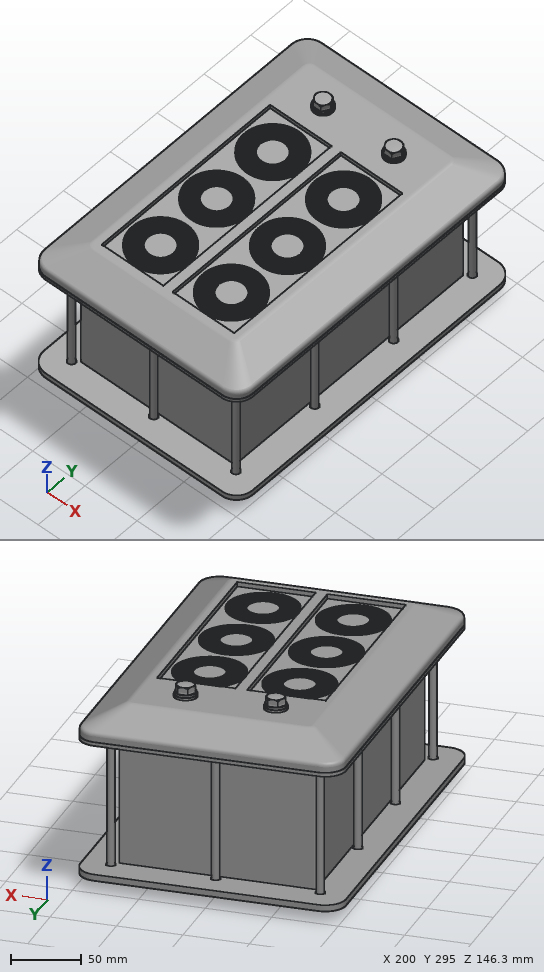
import cadquery as cq

WIDTH = 200.0
LENGTH = 295.0
CORNER_RADIUS = 15.5

STUD_TIP_LENGTH = 8.3
PLATE_THICKNESS = 5.0
BODY_HEIGHT = 100.0
FRAME_HEIGHT = 23.3
SCREW_HEIGHT = 9.7
PLATE_BOTTOM = STUD_TIP_LENGTH
PLATE_TOP = PLATE_BOTTOM + PLATE_THICKNESS
FRAME_BOTTOM = PLATE_TOP + BODY_HEIGHT
FRAME_TOP = FRAME_BOTTOM + FRAME_HEIGHT

BODY_WIDTH = 148.7
BODY_LENGTH = 244.8
BODY_CORNER_RADIUS = 1.8

FLANGE_THICKNESS = 3.0
RIM_INSET = 0.3
RIM_HEIGHT = 6.5
SLOPE_INSET = 29.8
TOP_CORNER_RADIUS = 4.7
RIM_FILLET = 3.2
TOP_FILLET = 7.5

EDGE_TOLERANCE = 0.03

STUD_DIAMETER = 6.0
STUD_HOLE_DIAMETER = 7.0
STUD_X = 78.8
STUD_Y = 126.3
STUD_ROWS = 4
STUD_WASHER_DIAMETER = 14.8
STUD_WASHER_THICKNESS = 1.8
NUT_ACROSS_CORNERS = 12.7
NUT_HEIGHT = 3.2

MODULE_COLUMN_X = 34.0
MODULE_PITCH = 60.0
MODULE_ROWS = 3
POCKET_WIDTH = 59.0
POCKET_CENTER_Y = -21.2
POCKET_DEPTH = 3.5

LAYER_DIAMETER = 54.0
LAYER_THICKNESS = 1.0
GROOVE_COUNT = 8
GROOVE_DEPTH = 0.3
SPLIT_WIDTH = 1.2

SCREW_Y = 92.3
SCREW_WASHER_DIAMETER = 17.5
SCREW_WASHER_THICKNESS = 1.8
SCREW_FLANGE_DIAMETER = 16.0
SCREW_FLANGE_THICKNESS = 1.8
SCREW_SKIRT_HEIGHT = 1.5
SCREW_SKIRT_CORNERS = 15.5
SCREW_HEAD_CORNERS = 15.0
SCREW_CHAMFER_REACH = 1.5
SCREW_CHAMFER_HEIGHT = 1.8
SCREW_CROWN_RADIUS = 31.3


def disc(diameter, bottom, height):
    return cq.Workplane("XY").workplane(offset=bottom).circle(diameter / 2).extrude(height)


def hexagon(across_corners, bottom, height):
    return cq.Workplane("XY").workplane(offset=bottom).polygon(6, across_corners).extrude(height)


def rounded_block(width, length, radius, bottom, height):
    block = cq.Workplane("XY").workplane(offset=bottom).rect(width, length).extrude(height)
    return block.edges("|Z").fillet(radius)


def rounded_outline(width, length, radius, height):
    outline = cq.Sketch().rect(width, length).vertices().fillet(radius)
    return outline.moved(cq.Location(cq.Vector(0, 0, height)))


def make_frame():
    flange = rounded_block(WIDTH, LENGTH, CORNER_RADIUS, FRAME_BOTTOM, FLANGE_THICKNESS)
    rim_width = WIDTH - 2 * RIM_INSET
    rim_length = LENGTH - 2 * RIM_INSET
    rim_radius = CORNER_RADIUS - RIM_INSET
    rim_bottom = FRAME_BOTTOM + FLANGE_THICKNESS
    rim_top = rim_bottom + RIM_HEIGHT
    rim = rounded_block(rim_width, rim_length, rim_radius, rim_bottom, RIM_HEIGHT)

    top_width = rim_width - 2 * SLOPE_INSET
    top_length = rim_length - 2 * SLOPE_INSET
    slope = (
        cq.Workplane("XY")
        .placeSketch(
            rounded_outline(rim_width, rim_length, rim_radius, rim_top),
            rounded_outline(top_width, top_length, TOP_CORNER_RADIUS, FRAME_TOP),
        )
        .loft(ruled=True)
    )
    cover = rim.union(slope)
    cover = cover.faces(">Z").edges().fillet(TOP_FILLET)
    rim_edges = cover.edges().filter(lambda edge: abs(edge.Center().z - rim_top) < EDGE_TOLERANCE)
    cover = rim_edges.fillet(RIM_FILLET)
    return flange.union(cover)


def make_stud():
    washer_bottom = PLATE_BOTTOM - STUD_WASHER_THICKNESS
    rod = disc(STUD_DIAMETER, 0, FRAME_BOTTOM)
    washer = disc(STUD_WASHER_DIAMETER, washer_bottom, STUD_WASHER_THICKNESS)
    nut = hexagon(NUT_ACROSS_CORNERS, washer_bottom - NUT_HEIGHT, NUT_HEIGHT)
    return rod.union(washer).union(nut)


def stud_positions():
    row_pitch = 2 * STUD_Y / (STUD_ROWS - 1)
    sides = [(x, -STUD_Y + row * row_pitch) for x in (-STUD_X, STUD_X) for row in range(STUD_ROWS)]
    return sides + [(0, -STUD_Y), (0, STUD_Y)]


def make_screw():
    flange_bottom = FRAME_TOP + SCREW_WASHER_THICKNESS
    skirt_bottom = flange_bottom + SCREW_FLANGE_THICKNESS
    head_bottom = skirt_bottom + SCREW_SKIRT_HEIGHT
    screw_top = FRAME_TOP + SCREW_HEIGHT
    washer = disc(SCREW_WASHER_DIAMETER, FRAME_TOP, SCREW_WASHER_THICKNESS)
    flange = disc(SCREW_FLANGE_DIAMETER, flange_bottom, SCREW_FLANGE_THICKNESS)
    skirt = (
        cq.Workplane("XY")
        .workplane(offset=skirt_bottom)
        .polygon(6, SCREW_SKIRT_CORNERS)
        .workplane(offset=SCREW_SKIRT_HEIGHT)
        .polygon(6, SCREW_HEAD_CORNERS)
        .loft()
    )
    head_height = screw_top - head_bottom
    corner_cone = disc(SCREW_HEAD_CORNERS, head_bottom, head_height)
    corner_cone = corner_cone.faces(">Z").chamfer(SCREW_CHAMFER_HEIGHT, SCREW_CHAMFER_REACH)
    crown = cq.Workplane("XY").sphere(SCREW_CROWN_RADIUS, direct=(1, 0, 0))
    crown = crown.translate((0, 0, screw_top - SCREW_CROWN_RADIUS))
    head = hexagon(SCREW_HEAD_CORNERS, head_bottom, head_height).intersect(corner_cone).intersect(crown)
    return washer.union(flange).union(skirt).union(head)


def make_layer_grooves():
    floor = FRAME_TOP - POCKET_DEPTH
    base = cq.Workplane("XY").workplane(offset=floor - GROOVE_DEPTH)
    grooves = cq.Workplane("XY")
    for index in range(GROOVE_COUNT):
        outer = LAYER_DIAMETER / 2 - 2 * index * LAYER_THICKNESS
        grooves = grooves.add(base.circle(outer).circle(outer - LAYER_THICKNESS).extrude(GROOVE_DEPTH))
    grooves = grooves.combine()
    split_bar = cq.Workplane("XY").rect(LAYER_DIAMETER, SPLIT_WIDTH).extrude(FRAME_TOP)
    return grooves.cut(split_bar)


def module_positions():
    middle = (MODULE_ROWS - 1) / 2
    ys = [POCKET_CENTER_Y + (row - middle) * MODULE_PITCH for row in range(MODULE_ROWS)]
    return [(x, y) for x in (-MODULE_COLUMN_X, MODULE_COLUMN_X) for y in ys]


plate = rounded_block(WIDTH, LENGTH, CORNER_RADIUS, PLATE_BOTTOM, PLATE_THICKNESS)
plate = plate.faces(">Z").workplane().pushPoints(stud_positions()).hole(STUD_HOLE_DIAMETER)
body = rounded_block(BODY_WIDTH, BODY_LENGTH, BODY_CORNER_RADIUS, PLATE_TOP, BODY_HEIGHT)
result = plate.union(body).union(make_frame())

stud = make_stud()
for x, y in stud_positions():
    result = result.union(stud.translate((x, y, 0)))

screw = make_screw()
for x in (-MODULE_COLUMN_X, MODULE_COLUMN_X):
    result = result.union(screw.translate((x, SCREW_Y, 0)))

pockets = (
    cq.Workplane("XY")
    .workplane(offset=FRAME_TOP - POCKET_DEPTH)
    .pushPoints([(-MODULE_COLUMN_X, POCKET_CENTER_Y), (MODULE_COLUMN_X, POCKET_CENTER_Y)])
    .rect(POCKET_WIDTH, MODULE_ROWS * MODULE_PITCH)
    .extrude(POCKET_DEPTH)
)
result = result.cut(pockets)

layer_grooves = make_layer_grooves()
for x, y in module_positions():
    result = result.cut(layer_grooves.translate((x, y, 0)))